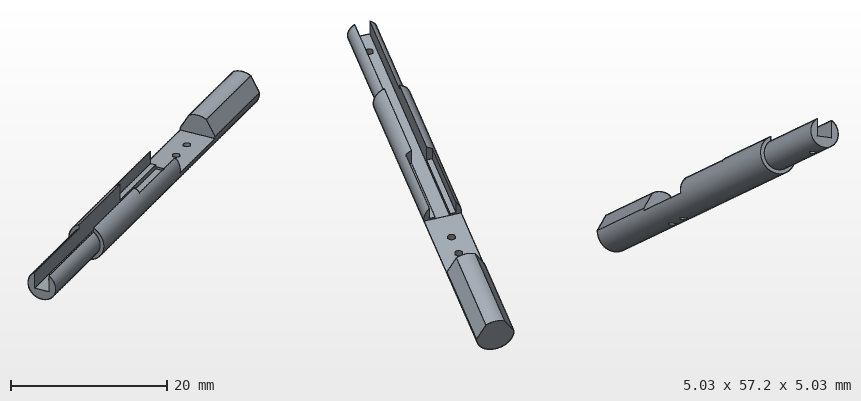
import cadquery as cq
import math

total_length = 57.15
tip_length = 12.7
head_length = 12.7
platform_length = 9.9
pocket_length = 10.15
head_start = total_length - head_length
platform_start = head_start - platform_length
pocket_start = platform_start - pocket_length

body_diameter = 5.03
body_radius = body_diameter / 2
tip_diameter = 3.98
flat_angle = 60

platform_z = -0.3
slot_width = 2.03
slot_floor_z = -0.6
pocket_width = 3.56
pocket_floor_z = -0.03

hole_diameter = 0.99
hole_pitch = 3.05
hole_positions = [
    hole_pitch,
    head_start - 2 * hole_pitch,
    head_start - hole_pitch,
]


def rod(diameter, y_start, y_end):
    """Round bar lying along Y."""
    bar = cq.Workplane("XZ").circle(diameter / 2).extrude(y_start - y_end)
    return bar.translate((0, y_start, 0))


def cut_from_above(width, y_start, y_end, floor_z):
    """Rectangular cutter, open at the top of the body."""
    length = y_end - y_start
    height = body_diameter - floor_z
    block = cq.Workplane("XY").box(width, length, height, centered=(True, False, False))
    return block.translate((0, y_start, floor_z))


def head_flat(side):
    """Cutter for one sloping flat of the head; side is +1 or -1 along X."""
    lower_x = side * body_radius
    upper_x = lower_x * math.cos(math.radians(flat_angle))
    upper_z = body_radius * math.sin(math.radians(flat_angle))
    outer_x = 2 * lower_x
    outer_z = 2 * upper_z
    profile = cq.Workplane("XZ").polyline(
        [(lower_x, 0), (upper_x, upper_z), (outer_x, outer_z)]
    )
    return profile.close().extrude(-head_length).translate((0, head_start, 0))


def through_hole(y):
    """Vertical drill through the whole body."""
    drill = cq.Workplane("XY").circle(hole_diameter / 2).extrude(body_diameter, both=True)
    return drill.translate((0, y, 0))


result = rod(body_diameter, tip_length, total_length)
result = result.union(rod(tip_diameter, 0, tip_length))

for side in (-1, 1):
    result = result.cut(head_flat(side))

result = result.cut(cut_from_above(body_diameter, platform_start, head_start, platform_z))
result = result.cut(cut_from_above(pocket_width, pocket_start, platform_start, pocket_floor_z))
result = result.cut(cut_from_above(slot_width, 0, platform_start, slot_floor_z))

for y in hole_positions:
    result = result.cut(through_hole(y))